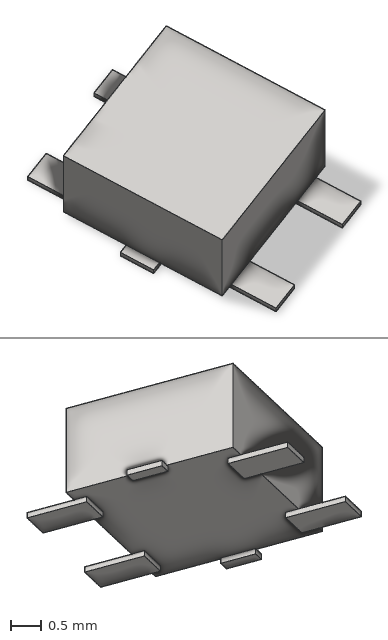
import cadquery as cq

overall_length = 4.86
overall_width = 3.46

housing_side = 3.11
housing_height = 1.6

terminal_thickness = 0.1
lead_length = 1.115
lead_width = 0.56
lead_pitch = 2.0
tab_length = 0.205
tab_width = 0.65


def make_housing():
    """Square block resting on top of the terminals."""
    return (
        cq.Workplane("XY")
        .workplane(offset=terminal_thickness)
        .rect(housing_side, housing_side)
        .extrude(housing_height)
    )


def make_terminal(size_x, size_y, center_x, center_y):
    """Flat rectangular plate with its underside on Z = 0."""
    return (
        cq.Workplane("XY")
        .center(center_x, center_y)
        .rect(size_x, size_y)
        .extrude(terminal_thickness)
    )


def make_leads():
    """Four long leads, two on each X side."""
    center_x = (overall_length - lead_length) / 2
    center_y = lead_pitch / 2
    return [
        make_terminal(lead_length, lead_width, side_x * center_x, side_y * center_y)
        for side_x in (-1, 1)
        for side_y in (-1, 1)
    ]


def make_tabs():
    """Two short tabs, one in the middle of each Y side."""
    center_y = (overall_width - tab_length) / 2
    return [
        make_terminal(tab_width, tab_length, 0, side_y * center_y)
        for side_y in (-1, 1)
    ]


housing = make_housing()
leads = make_leads()
tabs = make_tabs()

result = cq.Compound.makeCompound([
    housing.val(),
    *[lead.val() for lead in leads],
    *[tab.val() for tab in tabs],
])